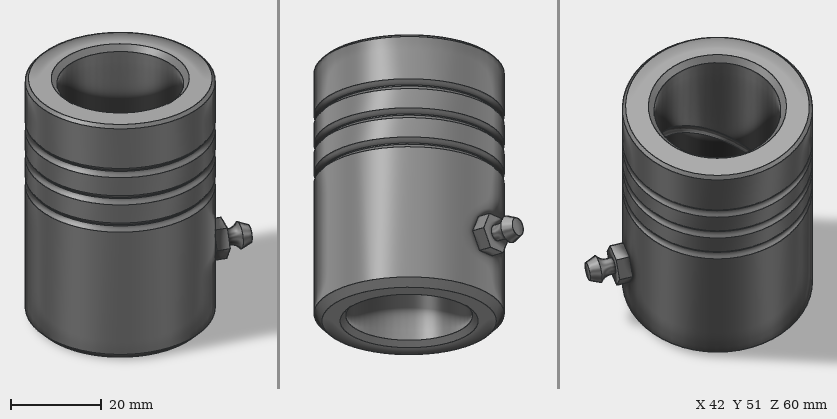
import cadquery as cq
import math

sleeve_length = 60.0
sleeve_radius = 21.0
bore_radius = 14.0
top_chamfer = 0.7
bottom_chamfer = 1.75
bore_chamfer = 1.25

groove_count = 3
groove_pitch = 6.95
top_groove_height = 48.0
groove_depth = 1.0
groove_floor = 0.3

oil_groove_height = 36.9
oil_groove_tilt = 30.0
oil_groove_radius = 1.0

nipple_height = 15.0
hex_flats = 8.0
hex_turn = -3.0
hex_thickness = 3.05
neck_radius = 1.8
neck_end = 4.15
head_radius = 3.05
head_widest = 6.6
tip_radius = 2.05
nipple_length = 9.0
shank_radius = 3.0
shank_length = 4.2


def make_blank():
    """Chamfered tube standing on Z = 0."""
    blank = cq.Workplane("XY").circle(sleeve_radius).extrude(sleeve_length)
    blank = blank.faces(">Z").chamfer(top_chamfer)
    blank = blank.faces("<Z").chamfer(bottom_chamfer)
    bore = cq.Workplane("XY").circle(bore_radius).extrude(sleeve_length)
    blank = blank.cut(bore)
    return blank.edges(cq.selectors.RadiusNthSelector(0)).chamfer(bore_chamfer)


def make_outer_groove(height):
    """Ring cutter for one 45-degree groove centred at the given height."""
    floor_half = groove_floor / 2
    mouth_half = floor_half + groove_depth
    floor_radius = sleeve_radius - groove_depth
    profile = [
        (sleeve_radius, height - mouth_half),
        (floor_radius, height - floor_half),
        (floor_radius, height + floor_half),
        (sleeve_radius, height + mouth_half),
    ]
    return cq.Workplane("XZ").polyline(profile).close().revolve(360, (0, 0, 0), (0, 1, 0))


def make_oil_groove():
    """Round cutter following the ellipse where a tilted plane meets the bore."""
    tilt = math.radians(oil_groove_tilt)
    uphill = cq.Vector(0, math.cos(tilt), math.sin(tilt))
    plane_normal = cq.Vector(0, -math.sin(tilt), math.cos(tilt))
    center = cq.Vector(0, 0, oil_groove_height)
    long_radius = bore_radius / math.cos(tilt)
    path = cq.Wire.assembleEdges(
        [cq.Edge.makeEllipse(long_radius, bore_radius, center, plane_normal, uphill)]
    )
    start = cq.Plane(origin=center + uphill * long_radius, xDir=uphill, normal=(1, 0, 0))
    return cq.Workplane(start).circle(oil_groove_radius).sweep(cq.Workplane(path))


def seat_plane():
    """Plane tangent to the sleeve at the nipple, with its normal along +Y."""
    return cq.Plane(origin=(0, sleeve_radius, nipple_height), xDir=(1, 0, 0), normal=(0, 1, 0))


def make_shank():
    return cq.Workplane(seat_plane()).circle(shank_radius).extrude(-shank_length)


def make_sleeve():
    sleeve = make_blank()
    for index in range(groove_count):
        sleeve = sleeve.cut(make_outer_groove(top_groove_height - index * groove_pitch))
    sleeve = sleeve.cut(make_oil_groove())
    return sleeve.cut(make_shank())


def make_nipple():
    """Hexagon with a necked, tapered head outside and a plain shank inside the sleeve."""
    hex_corners = hex_flats / math.cos(math.radians(30))
    hex_plane = seat_plane().rotated((0, 0, -hex_turn))
    hexagon = cq.Workplane(hex_plane).polygon(6, hex_corners).extrude(hex_thickness)

    profile_plane = cq.Plane(
        origin=(0, sleeve_radius, nipple_height), xDir=(1, 0, 0), normal=(0, 0, 1)
    )
    head = (
        cq.Workplane(profile_plane)
        .lineTo(neck_radius, 0)
        .lineTo(neck_radius, neck_end)
        .tangentArcPoint((head_radius, head_widest), relative=False)
        .lineTo(tip_radius, nipple_length)
        .lineTo(0, nipple_length)
        .close()
        .revolve(360, (0, 0, 0), (0, 1, 0))
    )
    return hexagon.union(head).union(make_shank())


sleeve = make_sleeve()
nipple = make_nipple()
result = cq.Compound.makeCompound([sleeve.val(), nipple.val()])